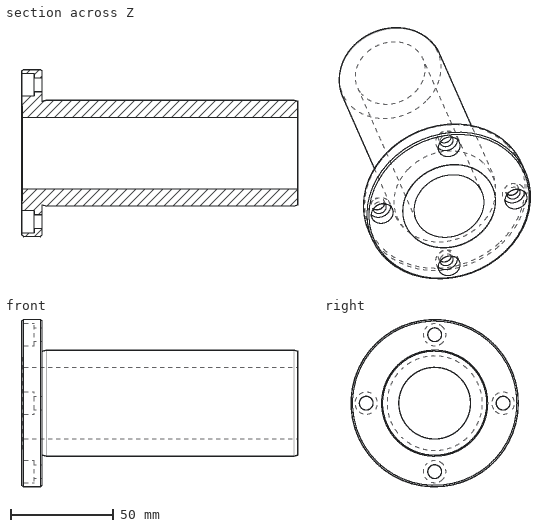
import cadquery as cq

length = 135.0
flange_diameter = 82.0
flange_thickness = 10.0
body_diameter = 52.0
bore_diameter = 35.0

flange_chamfer = 0.8
neck_taper_length = 2.2
end_taper_length = 1.8
taper_depth = 0.5

recess_diameter = 46.5
recess_depth = 0.3

hole_count = 4
hole_circle_diameter = 67.0
hole_diameter = 6.6
counterbore_diameter = 11.0
counterbore_depth = 6.1


def cylinder(start, diameter, height):
    """Cylinder along +X that begins at the given X position."""
    return cq.Workplane("YZ", origin=(start, 0, 0)).circle(diameter / 2).extrude(height)


flange = cylinder(0, flange_diameter, flange_thickness).edges().chamfer(flange_chamfer)

body_radius = body_diameter / 2
tapered_radius = body_radius - taper_depth
body = (
    cq.Workplane("XY")
    .moveTo(0, 0)
    .lineTo(0, tapered_radius)
    .lineTo(flange_thickness, tapered_radius)
    .lineTo(flange_thickness + neck_taper_length, body_radius)
    .lineTo(length - end_taper_length, body_radius)
    .lineTo(length, tapered_radius)
    .lineTo(length, 0)
    .close()
    .revolve(360, (0, 0, 0), (1, 0, 0))
)

bore = cylinder(0, bore_diameter, length)
recess = cylinder(0, recess_diameter, recess_depth)
result = flange.union(body).cut(bore).cut(recess)

result = (
    result.faces("<X").workplane(origin=(0, 0, 0))
    .polarArray(hole_circle_diameter / 2, 0, 360, hole_count)
    .cboreHole(hole_diameter, counterbore_diameter, counterbore_depth, flange_thickness)
)